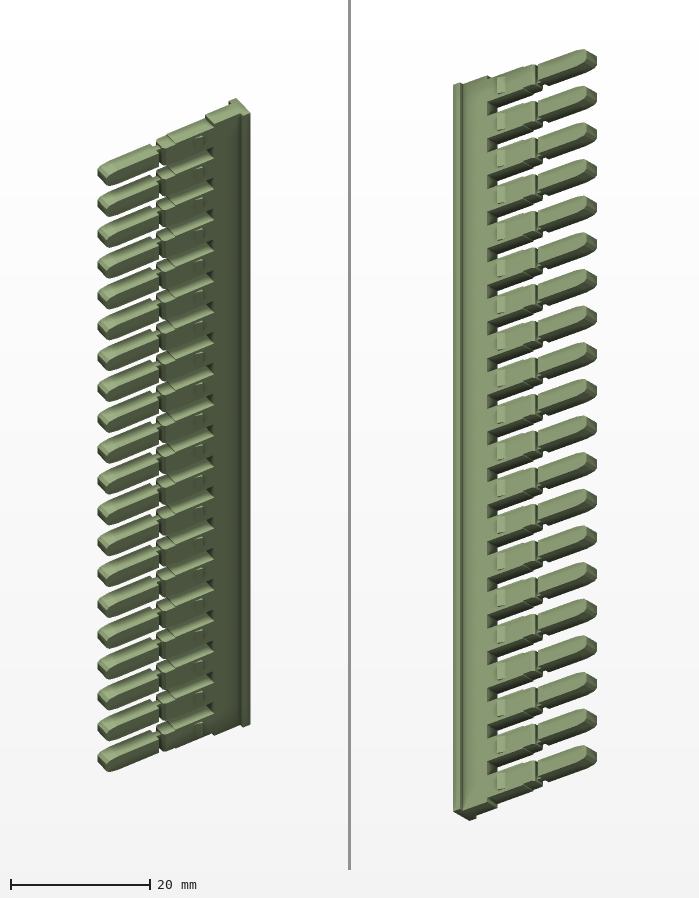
import cadquery as cq

length = 117.0
depth = 24.0
prong_count = 20
end_margin = 2.5
pitch = (length - 2 * end_margin) / (prong_count - 1)

flange_width = 3.9
flange_depth = 1.3
web_width = 2.5
web_end = 5.7

root_height = 3.6
root_end = 12.3
shoulder_height = 3.3
shoulder_end = 14.3
shoulder_bevel = 0.4
neck_width = 0.9
neck_end = 15.1

blade_height = 2.6
taper_start = 22.1
nose_start = 23.5
nose_height = 2.1
tip_height = 1.3

bump_rise = 0.4
bump_height = 2.6
bump_start = 7.8
bump_end = 9.1


def slab(width, height, start, end):
    """Block centred on X and Z that spans two distances from the back face."""
    return cq.Workplane("XY").box(width, end - start, height).translate((0, -(start + end) / 2, 0))


def spine():
    flange = slab(flange_width, length, 0, flange_depth)
    web = slab(web_width, length, 0, web_end)
    return flange.union(web)


def shoulder():
    """Step-down behind the neck, with its front side edges bevelled."""
    block = slab(web_width, shoulder_height, root_end, shoulder_end)
    return block.faces("<Y").edges("|Z").chamfer(shoulder_bevel)


def blade():
    """Flat contact blade whose nose narrows in two slopes."""
    profile = [
        (-neck_end, blade_height / 2),
        (-taper_start, blade_height / 2),
        (-nose_start, nose_height / 2),
        (-depth, tip_height / 2),
    ]
    mirrored = [(y, -z) for y, z in reversed(profile)]
    return cq.Workplane("YZ").polyline(profile + mirrored).close().extrude(web_width / 2, both=True)


def catches():
    """Steep at the back, running out to the prong surface at the front."""
    side = web_width / 2
    crest = side + bump_rise
    profile = [
        (-side, -bump_start),
        (-crest, -bump_start),
        (-side, -bump_end),
        (side, -bump_end),
        (crest, -bump_start),
        (side, -bump_start),
    ]
    return cq.Workplane("XY").polyline(profile).close().extrude(bump_height / 2, both=True)


def prong():
    root = slab(web_width, root_height, web_end, root_end)
    neck = slab(neck_width, blade_height, shoulder_end, neck_end)
    return root.union(shoulder()).union(neck).union(blade()).union(catches())


result = spine()
single_prong = prong()
first_prong_z = -length / 2 + end_margin
for index in range(prong_count):
    result = result.union(single_prong.translate((0, 0, first_prong_z + index * pitch)))